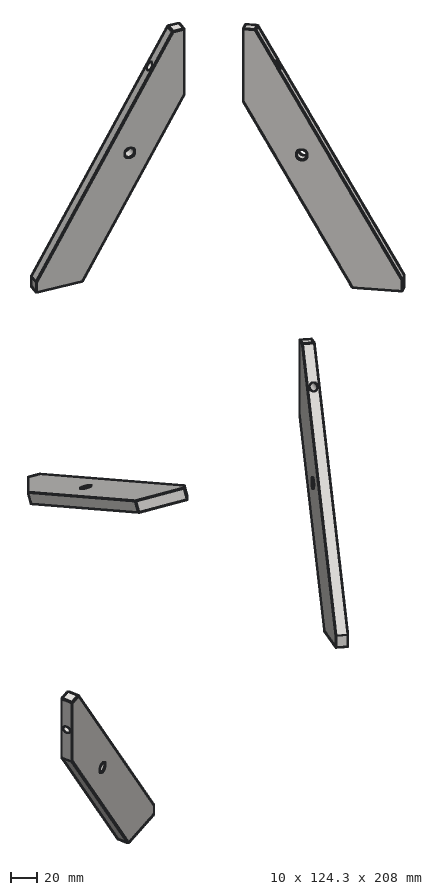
import cadquery as cq
import math

thickness = 10.0
height = 208.0
slope = math.tan(math.radians(30))

top_width = 10.0
nose_height = 10.0
back_height = 60.3
depth = top_width + (height - nose_height) * slope
foot_start = (height - back_height) * slope

edge_chamfer = 0.6

cross_hole_diameter = 8.0
cross_hole_from_back = 46.0
cross_hole_from_top = 100.9

long_hole_diameter = 6.0
long_hole_from_top = 29.7

back = depth / 2
front = -depth / 2


def make_plate():
    """Slanted plate centred on X = 0 and standing on Z = 0."""
    profile = [
        (back, height),
        (back - top_width, height),
        (front, nose_height),
        (front, 0),
        (back - foot_start, 0),
        (back, height - back_height),
    ]
    return cq.Workplane("YZ").polyline(profile).close().extrude(thickness / 2, both=True)


def make_cross_hole():
    """Cutter along X."""
    center = (back - cross_hole_from_back, height - cross_hole_from_top)
    sketch = cq.Workplane("YZ").center(*center).circle(cross_hole_diameter / 2)
    return sketch.extrude(thickness, both=True)


def make_long_hole():
    """Cutter along Y."""
    sketch = cq.Workplane("XZ").center(0, height - long_hole_from_top).circle(long_hole_diameter / 2)
    return sketch.extrude(depth, both=True)


def chamfer_outer_edges(plate):
    """Chamfer all edges except the two shallow bends where a slanted side meets an upright side."""
    bends = cq.selectors.NearestToPointSelector((0, front, nose_height))
    bends += cq.selectors.NearestToPointSelector((0, back, height - back_height))
    return plate.edges(-bends).chamfer(edge_chamfer)


plate = chamfer_outer_edges(make_plate())
plate = plate.cut(make_cross_hole())
plate = plate.faces("<X or >X").edges("%CIRCLE").chamfer(edge_chamfer)
result = plate.cut(make_long_hole())